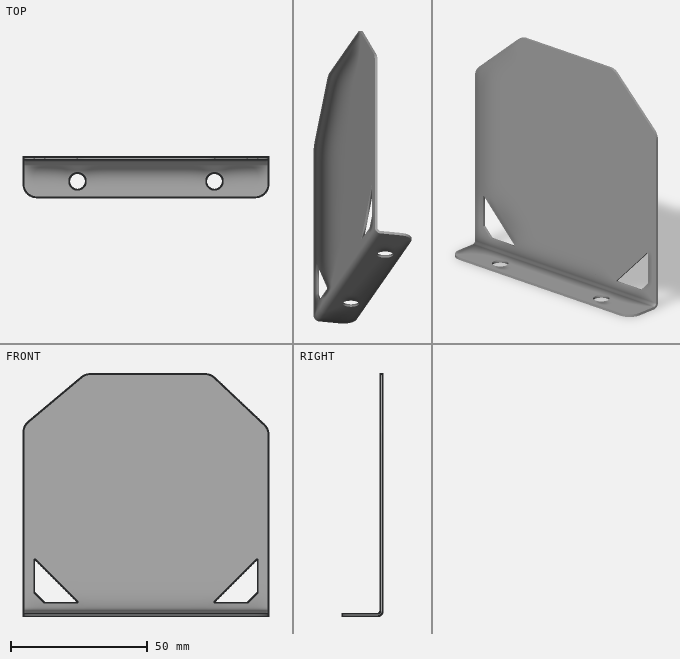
import cadquery as cq

width = 89.6
depth = 14.9
height = 88.5
thickness = 1.0
bend_outer_radius = 2.1
bend_inner_radius = bend_outer_radius - thickness
corner_radius = 5.0

left_slope_run = 22.7
left_slope_drop = 19.0
right_slope_run = 21.2
right_slope_drop = 20.1

window_side_margin = 4.0
window_bottom = 5.0
window_leg = 16.1
window_chamfer = 3.8
window_tip_radius = 0.3

hole_diameter = 6.0
hole_spacing = 50.0
hole_from_back = 9.0

half_width = width / 2


def bent_sheet():
    """L-shaped sheet with its back face at Y = 0 and its underside at Z = 0."""
    sheet = (
        cq.Workplane("YZ")
        .polyline([
            (0, 0),
            (0, height),
            (-thickness, height),
            (-thickness, thickness),
            (-depth, thickness),
            (-depth, 0),
        ])
        .close()
        .extrude(half_width, both=True)
    )
    inner_bend = cq.selectors.NearestToPointSelector((0, -thickness, thickness))
    outer_bend = cq.selectors.NearestToPointSelector((0, 0, 0))
    sheet = sheet.edges("|X").edges(inner_bend).fillet(bend_inner_radius)
    return sheet.edges("|X").edges(outer_bend).fillet(bend_outer_radius)


def plate_outline():
    """Front outline of the upright plate, with rounded upper corners."""
    outline = (
        cq.Workplane("XZ")
        .polyline([
            (-half_width, 0),
            (half_width, 0),
            (half_width, height - right_slope_drop),
            (half_width - right_slope_run, height),
            (-half_width + left_slope_run, height),
            (-half_width, height - left_slope_drop),
        ])
        .close()
        .extrude(depth)
    )
    return outline.edges("|Y").edges(
        cq.selectors.BoxSelector((-width, -width, height / 2), (width, width, 2 * height))
    ).fillet(corner_radius)


def flange_outline():
    """Plan outline of the flange, with rounded front corners."""
    return (
        cq.Workplane("XY")
        .rect(width, 2 * depth)
        .extrude(height)
        .edges("|Z and <Y")
        .fillet(corner_radius)
    )


def left_window():
    """Cutter for the left window: a right triangle with its square corner cut off."""
    side = -half_width + window_side_margin
    window = (
        cq.Workplane("XZ")
        .polyline([
            (side, window_bottom + window_chamfer),
            (side, window_bottom + window_leg),
            (side + window_leg, window_bottom),
            (side + window_chamfer, window_bottom),
        ])
        .close()
        .extrude(thickness)
    )
    top_tip = cq.selectors.NearestToPointSelector((side, -thickness / 2, window_bottom + window_leg))
    inner_tip = cq.selectors.NearestToPointSelector((side + window_leg, -thickness / 2, window_bottom))
    window = window.edges("|Y").edges(top_tip).fillet(window_tip_radius)
    return window.edges("|Y").edges(inner_tip).fillet(window_tip_radius)


def mounting_holes():
    """Cutters for the two flange holes."""
    return (
        cq.Workplane("XY")
        .pushPoints([(side * hole_spacing / 2, -hole_from_back) for side in (-1, 1)])
        .circle(hole_diameter / 2)
        .extrude(thickness)
    )


window = left_window()

result = (
    bent_sheet()
    .intersect(plate_outline())
    .intersect(flange_outline())
    .cut(window)
    .cut(window.mirror("YZ"))
    .cut(mounting_holes())
)